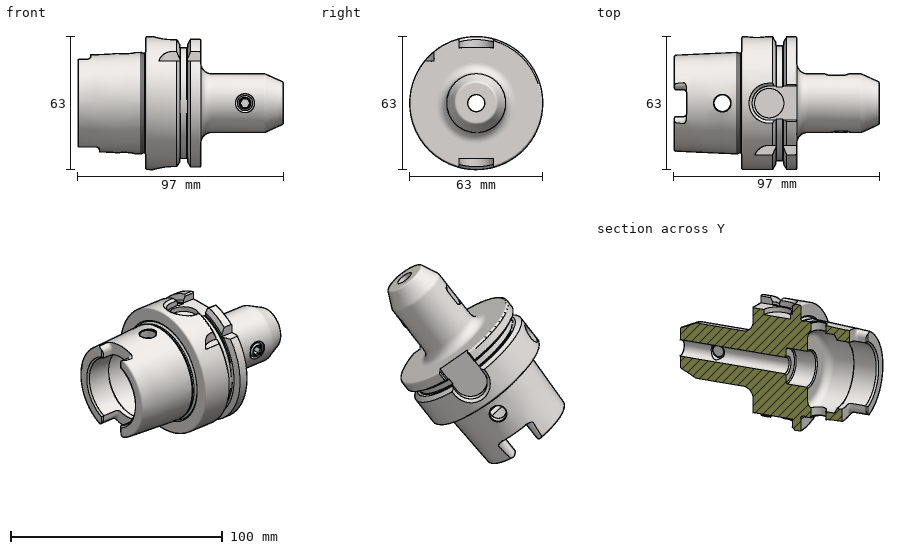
import cadquery as cq
import math

TOTAL_LENGTH = 97.0
MARGIN = 1.0
SELECT_MARGIN = 0.1
COS_45 = math.sqrt(0.5)

TAPER_MOUTH_R = 22.7
TAPER_END_X = 29.8
TAPER_END_R = 24.1
TAPER_EDGE_FILLET = 1.0

RELIEF_R = 23.7
RELIEF_START_X = 30.6
RELIEF_END_X = 31.3
RELIEF_FACE_R = 25.2
RELIEF_FACE_DEPTH = 0.4
RELIEF_INNER_FACE_R = 24.6

FLANGE_X = 31.9
FLANGE_R = 63.0 / 2
FLANGE_BACK_X = 58.0
FLANGE_EDGE_FILLET = 0.9
GROOVE_X = 49.9
GROOVE_TOP_WIDTH = 6.7
GROOVE_FLANK_DEPTH = 2.6
GROOVE_FLANK_ANGLE = 30.0
GROOVE_R = 27.3
GROOVE_CORNER_FILLET = 0.4

SHANK_R = 27.8 / 2
SHANK_ROOT_FILLET = 5.0
NOSE_X = 88.4
NOSE_END_R = 10.0
NOSE_EDGE_FILLET = 1.3
NOSE_BLEND_FILLET = 1.9

CAVITY_MOUTH_R = 16.9
CAVITY_MOUTH_CHAMFER = 0.9
CAVITY_MOUTH_LENGTH = 12.8
CAVITY_R = 19.4
CAVITY_FLARE_ANGLE = 60.0
CAVITY_FLOOR_X = 28.4
CAVITY_FLOOR_FILLET = 3.7

SEAT_R = 8.8
SEAT_DEPTH = 11.6
SEAT_CHAMFER = 0.6
TOOL_BORE_R = 4.0
TOOL_BORE_CHAMFER = 0.7

DRIVE_SLOT_HALF_WIDTH = 6.3
DRIVE_SLOT_DEPTH_TOP = 5.9
DRIVE_SLOT_DEPTH_BOTTOM = 10.0
DRIVE_SLOT_INNER_Z = 9.7
DRIVE_SLOT_ROUND_Z = 17.8
DRIVE_SLOT_EDGE_R = 2.9
DRIVE_SLOT_FLOOR_FILLET = 1.6
DRIVE_SLOT_MOUTH_CHAMFER = 0.9
DRIVE_SLOT_MOUTH_CHAMFER_DEPTH = 0.6

ACCESS_HOLE_X = 22.8
ACCESS_HOLE_R = 3.9
ACCESS_HOLE_CHAMFER = 0.3

KEYWAY_X = 44.9
KEYWAY_HALF_WIDTH = 8.05
KEYWAY_FLOOR_Z = 26.2
KEYWAY_RIM_Z = math.sqrt(FLANGE_R**2 - KEYWAY_HALF_WIDTH**2)
KEYWAY_FRONT_CHAMFER = 1.5
KEYWAY_REAR_CHAMFER = 0.9
KEYWAY_HOLE_R = 13.9 / 2
KEYWAY_HOLE_DEPTH = 2.5

NOTCH_CORNER = 19.9
NOTCH_END_R = 7.4

CHIP_HOLE_X = 39.0
CHIP_HOLE_R = 4.9
CHIP_HOLE_DEPTH = 4.4
BALANCE_SPOT_X = 76.8
BALANCE_SPOT_R = 5.7
BALANCE_SPOT_DEPTH = 0.7

SCREW_X = 78.9
SCREW_R = 3.6
SCREW_HEAD_Y = -13.9
SCREW_TIP_Y = -4.4
SCREW_CHAMFER = 0.8
SCREW_HOLE_MOUTH_R = 9.0 / 2
HEX_FLATS = 4.0
HEX_DEPTH = 3.9
HEX_COUNTERSINK_R = 2.5


def cone_x(x_start, r_start, x_end, r_end):
    """Solid cone frustum about the X axis."""
    points = [(x_start, 0), (x_start, r_start), (x_end, r_end), (x_end, 0)]
    return cq.Workplane("XY").polyline(points).close().revolve(360, (0, 0), (1, 0))


def cylinder_y(x, radius, y_start, y_end):
    """Cylinder parallel to Y at height Z = 0."""
    return (cq.Workplane("XZ", origin=(x, y_start, 0))
            .circle(radius).extrude(y_start - y_end))


def cylinder_z(x, radius, z_start, z_end):
    """Cylinder parallel to Z in the plane Y = 0."""
    return (cq.Workplane("XY", origin=(x, 0, z_start))
            .circle(radius).extrude(z_end - z_start))


def half_turn(shape):
    """Turn a shape to the opposite side of the X axis."""
    return shape.rotate((0, 0, 0), (1, 0, 0), 180)


def make_taper():
    """Solid taper with the relief groove at its large end."""
    points = [
        (0, 0),
        (0, TAPER_MOUTH_R),
        (TAPER_END_X, TAPER_END_R),
        (RELIEF_START_X, RELIEF_R),
        (RELIEF_END_X, RELIEF_R),
        (FLANGE_X + RELIEF_FACE_DEPTH, RELIEF_INNER_FACE_R),
        (FLANGE_X + RELIEF_FACE_DEPTH, 0),
    ]
    taper = cq.Workplane("XY").polyline(points).close().revolve(360, (0, 0), (1, 0))
    return taper.faces("<X").edges().fillet(TAPER_EDGE_FILLET)


def make_flange():
    """Plain flange with rounded rims and the relief recess in its front face."""
    length = FLANGE_BACK_X - FLANGE_X
    flange = cq.Workplane("YZ", origin=(FLANGE_X, 0, 0)).circle(FLANGE_R).extrude(length)
    flange = flange.faces("<X or >X").edges().fillet(FLANGE_EDGE_FILLET)
    recess = cone_x(FLANGE_X, RELIEF_FACE_R, FLANGE_X + RELIEF_FACE_DEPTH, RELIEF_INNER_FACE_R)
    return flange.cut(recess)


def make_shank():
    """Shank with a conical nose and a concave root running into the flange back."""
    root_end_x = FLANGE_BACK_X + SHANK_ROOT_FILLET
    arc_offset = SHANK_ROOT_FILLET * (1 - COS_45)
    shank = (
        cq.Workplane("XY")
        .moveTo(FLANGE_BACK_X, 0)
        .lineTo(FLANGE_BACK_X, SHANK_R + SHANK_ROOT_FILLET)
        .threePointArc((FLANGE_BACK_X + arc_offset, SHANK_R + arc_offset), (root_end_x, SHANK_R))
        .lineTo(NOSE_X, SHANK_R)
        .lineTo(TOTAL_LENGTH, NOSE_END_R)
        .lineTo(TOTAL_LENGTH, 0)
        .close()
        .revolve(360, (0, 0), (1, 0))
    )
    nose_blend = cq.selectors.BoxSelector(
        (NOSE_X - SELECT_MARGIN, -FLANGE_R, -FLANGE_R), (NOSE_X + SELECT_MARGIN, FLANGE_R, FLANGE_R))
    shank = shank.edges(nose_blend).fillet(NOSE_BLEND_FILLET)
    return shank.faces(">X").edges().fillet(NOSE_EDGE_FILLET)


def make_cavity():
    """Hollow of the taper, the coolant tube seat and the tool bore."""
    mouth = cone_x(0, CAVITY_MOUTH_R, CAVITY_MOUTH_LENGTH, CAVITY_MOUTH_R)
    mouth_chamfer = cone_x(
        0, CAVITY_MOUTH_R + CAVITY_MOUTH_CHAMFER, CAVITY_MOUTH_CHAMFER, CAVITY_MOUTH_R)

    flare_length = (CAVITY_R - CAVITY_MOUTH_R) / math.tan(math.radians(CAVITY_FLARE_ANGLE))
    flare_end_x = CAVITY_MOUTH_LENGTH + flare_length
    flare = cone_x(CAVITY_MOUTH_LENGTH, CAVITY_MOUTH_R, flare_end_x, CAVITY_R)
    chamber = cone_x(flare_end_x, CAVITY_R, CAVITY_FLOOR_X, CAVITY_R)
    chamber = chamber.faces(">X").edges().fillet(CAVITY_FLOOR_FILLET)

    seat_end_x = CAVITY_FLOOR_X + SEAT_DEPTH
    seat = cone_x(CAVITY_FLOOR_X, SEAT_R, seat_end_x, SEAT_R).faces(">X").edges().chamfer(SEAT_CHAMFER)
    seat_chamfer = cone_x(CAVITY_FLOOR_X, SEAT_R + SEAT_CHAMFER, CAVITY_FLOOR_X + SEAT_CHAMFER, SEAT_R)

    bore = cone_x(seat_end_x, TOOL_BORE_R, TOTAL_LENGTH + MARGIN, TOOL_BORE_R)
    bore_chamfer = cone_x(
        seat_end_x, TOOL_BORE_R + TOOL_BORE_CHAMFER, seat_end_x + TOOL_BORE_CHAMFER, TOOL_BORE_R)

    cavity = mouth
    for section in (mouth_chamfer, flare, chamber, seat, seat_chamfer, bore, bore_chamfer):
        cavity = cavity.union(section)
    return cavity


def make_groove():
    """V-shaped gripper groove with a cylindrical floor."""
    outer_half = GROOVE_TOP_WIDTH / 2
    flank_run = GROOVE_FLANK_DEPTH * math.tan(math.radians(GROOVE_FLANK_ANGLE))
    inner_half = outer_half - flank_run
    flank_end_r = FLANGE_R - GROOVE_FLANK_DEPTH
    outer_r = FLANGE_R + MARGIN
    points = [
        (GROOVE_X - outer_half, outer_r),
        (GROOVE_X - outer_half, FLANGE_R),
        (GROOVE_X - inner_half, flank_end_r),
        (GROOVE_X - inner_half, GROOVE_R),
        (GROOVE_X + inner_half, GROOVE_R),
        (GROOVE_X + inner_half, flank_end_r),
        (GROOVE_X + outer_half, FLANGE_R),
        (GROOVE_X + outer_half, outer_r),
    ]
    groove = cq.Workplane("XY").polyline(points).close().revolve(360, (0, 0), (1, 0))
    floor_corners = cq.selectors.RadiusNthSelector(0)
    return groove.edges("%CIRCLE").edges(floor_corners).fillet(GROOVE_CORNER_FILLET)


def make_drive_slot(depth):
    """Cutter for a drive slot on the +Z side, flaring outwards over rounded outer edges."""
    half = DRIVE_SLOT_HALF_WIDTH
    flare = DRIVE_SLOT_EDGE_R
    arc_y = half + flare * (1 - COS_45)
    arc_z = DRIVE_SLOT_ROUND_Z + flare * COS_45
    rim_z = DRIVE_SLOT_ROUND_Z + flare
    outer_y = half + 2 * flare
    outer_z = FLANGE_R
    slot = (
        cq.Workplane("YZ", origin=(-MARGIN, 0, 0))
        .moveTo(-half, DRIVE_SLOT_INNER_Z)
        .lineTo(half, DRIVE_SLOT_INNER_Z)
        .lineTo(half, DRIVE_SLOT_ROUND_Z)
        .threePointArc((arc_y, arc_z), (half + flare, rim_z))
        .lineTo(outer_y, rim_z)
        .lineTo(outer_y, outer_z)
        .lineTo(-outer_y, outer_z)
        .lineTo(-outer_y, rim_z)
        .lineTo(-half - flare, rim_z)
        .threePointArc((-arc_y, arc_z), (-half, DRIVE_SLOT_ROUND_Z))
        .close()
        .extrude(depth + MARGIN)
        .faces(">X").edges().fillet(DRIVE_SLOT_FLOOR_FILLET)
    )
    mouth_half = half + DRIVE_SLOT_MOUTH_CHAMFER
    mouth_points = [
        (0, -mouth_half),
        (0, mouth_half),
        (DRIVE_SLOT_MOUTH_CHAMFER_DEPTH, half),
        (DRIVE_SLOT_MOUTH_CHAMFER_DEPTH, -half),
    ]
    mouth = (cq.Workplane("XY", origin=(0, 0, DRIVE_SLOT_INNER_Z))
             .polyline(mouth_points).close().extrude(rim_z - DRIVE_SLOT_INNER_Z))
    return slot.union(mouth)


def make_access_hole():
    """Hole along Z through both taper walls, with chamfered mouths."""
    wall_r = TAPER_MOUTH_R + (TAPER_END_R - TAPER_MOUTH_R) * ACCESS_HOLE_X / TAPER_END_X
    hole = cylinder_z(ACCESS_HOLE_X, ACCESS_HOLE_R, -FLANGE_R, FLANGE_R)
    mouth_r = ACCESS_HOLE_R + ACCESS_HOLE_CHAMFER
    mouth_z = math.sqrt(wall_r**2 - mouth_r**2)
    mouth = (cq.Workplane("XY", origin=(ACCESS_HOLE_X, 0, mouth_z - ACCESS_HOLE_CHAMFER))
             .circle(ACCESS_HOLE_R).workplane(offset=ACCESS_HOLE_CHAMFER).circle(mouth_r).loft())
    mouth = mouth.union(cylinder_z(ACCESS_HOLE_X, mouth_r, mouth_z, FLANGE_R))
    return hole.union(mouth).union(half_turn(mouth))


def make_keyway():
    """Cutter for a keyway on the +Z side: round towards the taper, open towards the shank."""
    height = FLANGE_R + MARGIN - KEYWAY_FLOOR_Z
    round_end = cylinder_z(KEYWAY_X, KEYWAY_HALF_WIDTH, KEYWAY_FLOOR_Z, KEYWAY_FLOOR_Z + height)
    straight = (cq.Workplane("XY", origin=(KEYWAY_X, 0, KEYWAY_FLOOR_Z))
                .box(FLANGE_BACK_X - KEYWAY_X, 2 * KEYWAY_HALF_WIDTH, height, centered=(False, True, False)))
    return round_end.union(straight)


def make_notch():
    """Orientation notch at the -Y, +Z corner of the flange, with a round end."""
    size = FLANGE_R - NOTCH_CORNER
    end_y = -NOTCH_CORNER - NOTCH_END_R
    block = (cq.Workplane("XY", origin=(KEYWAY_X, -NOTCH_CORNER - size, NOTCH_CORNER))
             .box(FLANGE_BACK_X - KEYWAY_X, size, size, centered=False))
    round_end = (cq.Workplane("XY", origin=(KEYWAY_X, end_y, NOTCH_CORNER))
                 .circle(NOTCH_END_R).extrude(size))
    return block.union(round_end)


def front_keyway_rim():
    """Selects the keyway edges on the flange rim ahead of the gripper groove."""
    x_min = KEYWAY_X - KEYWAY_HALF_WIDTH - SELECT_MARGIN
    x_max = GROOVE_X - GROOVE_TOP_WIDTH / 2 + SELECT_MARGIN
    reach_y = KEYWAY_HALF_WIDTH + SELECT_MARGIN
    low_z = KEYWAY_RIM_Z - SELECT_MARGIN
    high_z = FLANGE_R + SELECT_MARGIN
    top = cq.selectors.BoxSelector((x_min, -reach_y, low_z), (x_max, reach_y, high_z))
    bottom = cq.selectors.BoxSelector((x_min, -reach_y, -high_z), (x_max, reach_y, -low_z))
    return top + bottom


def make_rear_keyway_bevel():
    """Cutter that bevels both keyway walls at 45 degrees behind the gripper groove."""
    low_z = KEYWAY_RIM_Z - KEYWAY_REAR_CHAMFER
    high_z = FLANGE_R
    high_y = KEYWAY_HALF_WIDTH + high_z - low_z
    points = [
        (-KEYWAY_HALF_WIDTH, low_z),
        (KEYWAY_HALF_WIDTH, low_z),
        (high_y, high_z),
        (-high_y, high_z),
    ]
    return (cq.Workplane("YZ", origin=(GROOVE_X, 0, 0))
            .polyline(points).close().extrude(FLANGE_BACK_X - GROOVE_X))


def make_screw_hole():
    """Screw hole from the -Y side into the tool bore, countersunk to its mouth radius."""
    mouth_y = -math.sqrt(SHANK_R**2 - SCREW_HOLE_MOUTH_R**2)
    countersink = SCREW_HOLE_MOUTH_R - SCREW_R
    hole = cylinder_y(SCREW_X, SCREW_R, 0, mouth_y)
    cone = (cq.Workplane("XZ", origin=(SCREW_X, mouth_y + countersink, 0)).circle(SCREW_R)
            .workplane(offset=countersink).circle(SCREW_HOLE_MOUTH_R).loft())
    mouth = cylinder_y(SCREW_X, SCREW_HOLE_MOUTH_R, mouth_y, -SHANK_R)
    return hole.union(cone).union(mouth)


def make_holder():
    """Tool holder body: flange, taper and shank with all their cut-outs."""
    holder = make_flange().cut(make_groove())
    keyway = make_keyway()
    holder = holder.cut(keyway).cut(half_turn(keyway))
    holder = holder.edges(front_keyway_rim()).chamfer(KEYWAY_FRONT_CHAMFER)
    bevel = make_rear_keyway_bevel()
    holder = holder.cut(bevel).cut(half_turn(bevel))
    keyway_hole = cylinder_z(KEYWAY_X, KEYWAY_HOLE_R, KEYWAY_FLOOR_Z - KEYWAY_HOLE_DEPTH, FLANGE_R)
    holder = holder.cut(keyway_hole).cut(make_notch())
    holder = holder.union(make_taper()).union(make_shank()).cut(make_cavity())
    holder = holder.cut(make_drive_slot(DRIVE_SLOT_DEPTH_TOP))
    holder = holder.cut(half_turn(make_drive_slot(DRIVE_SLOT_DEPTH_BOTTOM)))
    holder = holder.cut(make_access_hole())
    holder = holder.cut(cylinder_y(CHIP_HOLE_X, CHIP_HOLE_R, FLANGE_R - CHIP_HOLE_DEPTH, FLANGE_R + MARGIN))
    holder = holder.cut(cylinder_y(
        BALANCE_SPOT_X, BALANCE_SPOT_R, SHANK_R - BALANCE_SPOT_DEPTH, SHANK_R + MARGIN))
    return holder.cut(make_screw_hole())


def make_screw():
    """Set screw with a hexagon socket in its outer end."""
    screw = cylinder_y(SCREW_X, SCREW_R, SCREW_TIP_Y, SCREW_HEAD_Y)
    screw = screw.faces("<Y or >Y").edges().chamfer(SCREW_CHAMFER)
    corner_diameter = HEX_FLATS / math.cos(math.pi / 6)
    socket = (cq.Workplane("XZ", origin=(SCREW_X, SCREW_HEAD_Y + HEX_DEPTH, 0))
              .polygon(6, corner_diameter).extrude(HEX_DEPTH))
    countersink_depth = HEX_COUNTERSINK_R - HEX_FLATS / 2
    countersink = (cq.Workplane("XZ", origin=(SCREW_X, SCREW_HEAD_Y, 0)).circle(HEX_COUNTERSINK_R)
                   .workplane(offset=-countersink_depth).circle(HEX_FLATS / 2).loft())
    return screw.cut(socket).cut(countersink)


holder = make_holder()
screw = make_screw()

result = cq.Compound.makeCompound([holder.val(), screw.val()])